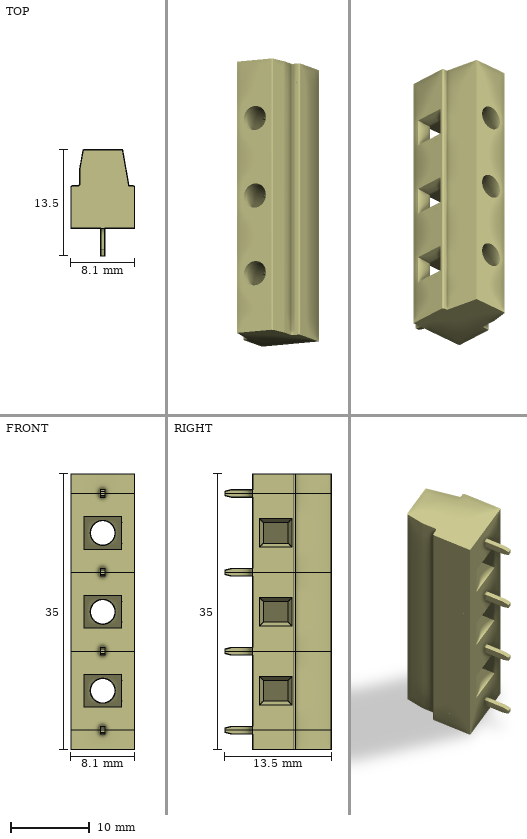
import cadquery as cq

length = 35.0
pitch = 10.0
pole_count = 3
width = 8.1
base_depth = 5.42
body_depth = 10.0
tower_left = 2.95
left_wall_top = 7.5
top_left = 2.5
top_right = 2.52
tower_right = 3.32
edge_radius = 0.2

pocket_width = 4.8
pocket_height = 4.15
pocket_depth = 5.0
hole_diameter = 3.1

window_start = 1.35
window_length = 3.15
window_height = 2.62
window_throat = 0.28
window_flare = 0.5

pin_length = 3.5
pin_thickness = 0.55
pin_half_height = 0.5
pin_straight = 2.7
tip_half_height = 0.28

end_height = (length - pole_count * pitch) / 2


def housing_slice(bottom, height):
    """Slice of the housing between two Z levels."""
    block = (
        cq.Workplane("XY")
        .moveTo(-width / 2, 0)
        .lineTo(width / 2, 0)
        .lineTo(width / 2, base_depth)
        .lineTo(tower_right, base_depth)
        .lineTo(top_right, body_depth)
        .lineTo(-top_left, body_depth)
        .lineTo(-tower_left, left_wall_top)
        .lineTo(-tower_left, base_depth)
        .lineTo(-width / 2, base_depth)
        .close()
        .extrude(height)
    )
    rounded_corners = [
        (-width / 2, base_depth),
        (width / 2, base_depth),
        (-tower_left, base_depth),
        (-top_left, body_depth),
    ]
    for x, y in rounded_corners:
        corner = cq.selectors.NearestToPointSelector((x, y, height / 2))
        block = block.edges(corner).fillet(edge_radius)
    return block.translate((0, 0, bottom))


def half_pin(level, side):
    """Half of a pin on the joint at a Z level; side is 1 above the joint and -1 below it."""
    return (
        cq.Workplane("YZ")
        .moveTo(0, 0)
        .lineTo(0, side * pin_half_height)
        .lineTo(-pin_straight, side * pin_half_height)
        .lineTo(-pin_length, side * tip_half_height)
        .lineTo(-pin_length, 0)
        .close()
        .extrude(pin_thickness / 2, both=True)
        .translate((0, 0, level))
    )


def screw_opening(level):
    """Rectangular pocket with a round hole behind it, centred on a Z level."""
    pocket = cq.Workplane("XY").box(pocket_width, 2 * pocket_depth, pocket_height)
    hole = cq.Workplane("XZ").circle(hole_diameter / 2).extrude(-body_depth)
    return pocket.union(hole).translate((0, 0, level))


def side_window(level):
    """Flared rectangular window from the pocket out through the +X wall."""
    throat_end = pocket_width / 2 + window_throat
    middle = window_start + window_length / 2
    throat = (
        cq.Workplane("YZ", origin=(0, middle, level))
        .rect(window_length, window_height)
        .extrude(throat_end)
    )
    funnel = (
        cq.Workplane("YZ", origin=(throat_end, middle, level))
        .rect(window_length, window_height)
        .workplane(offset=width / 2 - throat_end)
        .rect(window_length + 2 * window_flare, window_height + 2 * window_flare)
        .loft(ruled=True)
    )
    return throat.union(funnel)


def pole_block(bottom):
    """One pole with its opening and a half pin at each joint."""
    top = bottom + pitch
    middle = bottom + pitch / 2
    block = housing_slice(bottom, pitch).cut(screw_opening(middle)).cut(side_window(middle))
    return block.union(half_pin(bottom, 1)).union(half_pin(top, -1))


lower_end = housing_slice(0, end_height).union(half_pin(end_height, -1))
upper_joint = length - end_height
upper_end = housing_slice(upper_joint, end_height).union(half_pin(upper_joint, 1))

poles = [pole_block(end_height + index * pitch) for index in range(pole_count)]

result = cq.Compound.makeCompound([
    lower_end.val(),
    *[pole.val() for pole in poles],
    upper_end.val(),
])